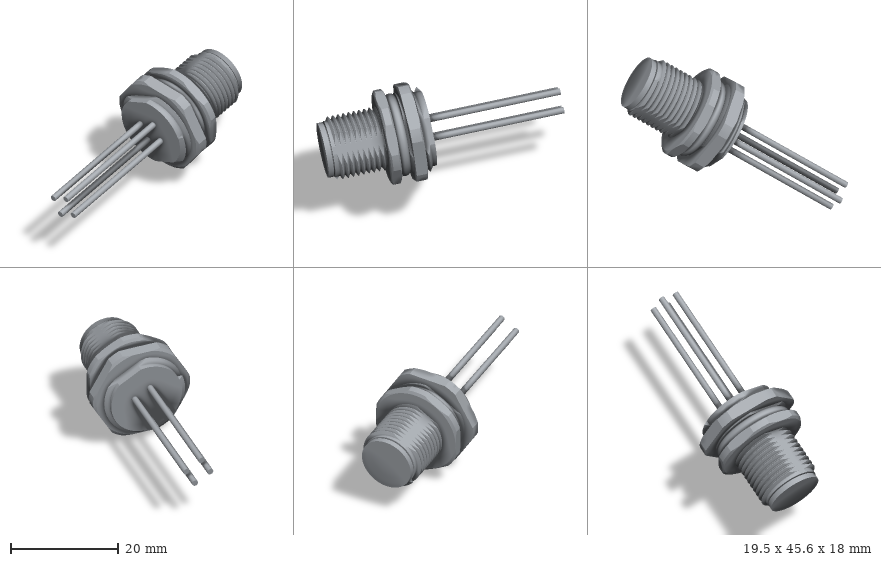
import cadquery as cq
import math


RIM_END = 1.0
NECK_END = 1.25
NUT_START = 11.3
NUT_THICKNESS = 1.95
NUT_END = NUT_START + NUT_THICKNESS
RING_SECTION_R = 1.0
SHELL_START = NUT_END + 2 * RING_SECTION_R
FLANGE_START = 15.8
FLANGE_THICKNESS = 2.3
SHELL_END = 20.25
TOTAL_LENGTH = 45.6

RIM_R = 5.2
NECK_R = 4.7
FRONT_CORE_R = 5.35
RING_OUTER_R = 7.85
RING_MEAN_R = RING_OUTER_R - RING_SECTION_R
SHELL_CORE_R = 7.1

FRONT_CREST_R = 6.0
FRONT_TURNS = 10
FRONT_RISE = 10.0
FRONT_PITCH = FRONT_RISE / FRONT_TURNS
FRONT_RIDGE_WIDTH = 0.85
FRONT_ZERO_HEIGHT = 2.1
FRONT_FIRST_ANGLE = 218.0 - 360
FRONT_LAST_ANGLE = FRONT_TURNS * 360

SHELL_CREST_R = 8.0
SHELL_PITCH = 1.5
SHELL_RIDGE_WIDTH = 1.25
SHELL_ZERO_HEIGHT = 18.1
SHELL_FIRST_ANGLE = -2.4 * 360
SHELL_LAST_ANGLE = 22.0 + 360

RIDGE_EMBED = 0.07
CREST_WIDTH = 0.05
ARC_HALF_SPAN = 85.0

FLAT_ANGLE = 120.0
FRONT_FLAT_DISTANCE = 5.3
SHELL_FLAT_DISTANCE = 6.65

NUT_ACROSS_FLATS = 17.0
NUT_CORNER_R = 9.0
FLANGE_ACROSS_FLATS = 18.0
FLANGE_CORNER_R = 9.75
HEX_CHAMFER_WIDTH = 0.55
HEX_CHAMFER_ANGLE = 30.0
HEX_CHAMFER_DEPTH = HEX_CHAMFER_WIDTH * math.tan(math.radians(HEX_CHAMFER_ANGLE))

WIRE_COUNT = 4
WIRE_R = 0.6
WIRE_CIRCLE_R = 2.5
WIRE_FIRST_ANGLE = 75.0


def cylinder(radius, start, end):
    return cq.Workplane("XY").workplane(offset=start).circle(radius).extrude(end - start)


def between_flats(flat_distance, start, end):
    """Long bar whose two sides are the pair of flats."""
    return (
        cq.Workplane("XY")
        .workplane(offset=start)
        .rect(2 * flat_distance, TOTAL_LENGTH)
        .extrude(end - start)
        .rotate((0, 0, 0), (0, 0, 1), FLAT_ANGLE)
    )


def ridge_arc(core_r, crest_r, pitch, ridge_width, sweep_angle):
    """Piece of triangular right-handed thread ridge, rising from the +X axis."""
    root_r = core_r - RIDGE_EMBED
    half_crest = CREST_WIDTH / 2
    flank_slope = (ridge_width - CREST_WIDTH) / 2 / (crest_r - core_r)
    half_root = ridge_width / 2 + flank_slope * RIDGE_EMBED
    path = cq.Workplane(obj=cq.Wire.makeHelix(pitch, pitch * sweep_angle / 360, root_r))
    return (
        cq.Workplane("XZ")
        .polyline([
            (root_r, -half_root),
            (crest_r, -half_crest),
            (crest_r, half_crest),
            (root_r, half_root),
        ])
        .close()
        .sweep(path, isFrenet=True)
    )


def threaded_body(core_r, crest_r, pitch, ridge_width, zero_height, first_angle, last_angle,
                  flat_distance, start, end):
    """Threaded cylinder with a pair of flats.

    The flats reach below the thread, so the ridge is a row of separate arcs, one per
    half turn.  The ridge is at zero_height at angle 0 and rises one pitch per turn.
    """
    bar = between_flats(flat_distance, start, end)
    body = cylinder(core_r, start, end).intersect(bar)
    middle_angle = FLAT_ANGLE - 90
    while middle_angle - ARC_HALF_SPAN > first_angle:
        middle_angle -= 180
    while middle_angle - ARC_HALF_SPAN < last_angle:
        arc_start = max(middle_angle - ARC_HALF_SPAN, first_angle)
        arc_end = min(middle_angle + ARC_HALF_SPAN, last_angle)
        if arc_end > arc_start:
            arc = (
                ridge_arc(core_r, crest_r, pitch, ridge_width, arc_end - arc_start)
                .rotate((0, 0, 0), (0, 0, 1), arc_start)
                .translate((0, 0, zero_height + pitch * arc_start / 360))
            )
            body = body.union(arc.intersect(bar))
        middle_angle += 180
    return body


def turned_hexagon(across_flats, corner_r, start, thickness, corner_angle, chamfer_front):
    """Hexagon with its corners turned round and conical chamfers on its faces."""
    end = start + thickness
    chamfer_r = corner_r - HEX_CHAMFER_WIDTH
    hexagon = (
        cq.Workplane("XY")
        .workplane(offset=start)
        .polygon(6, across_flats / math.cos(math.pi / 6))
        .extrude(thickness)
        .rotate((0, 0, 0), (0, 0, 1), corner_angle)
    )
    blank = cq.Workplane("XZ").moveTo(0, start)
    if chamfer_front:
        blank = blank.lineTo(chamfer_r, start).lineTo(corner_r, start + HEX_CHAMFER_DEPTH)
    else:
        blank = blank.lineTo(corner_r, start)
    blank = (
        blank.lineTo(corner_r, end - HEX_CHAMFER_DEPTH)
        .lineTo(chamfer_r, end)
        .lineTo(0, end)
        .close()
        .revolve(360, (0, 0, 0), (0, 1, 0))
    )
    return hexagon.intersect(blank)


front_barrel = threaded_body(
    FRONT_CORE_R, FRONT_CREST_R, FRONT_PITCH, FRONT_RIDGE_WIDTH,
    FRONT_ZERO_HEIGHT, FRONT_FIRST_ANGLE, FRONT_LAST_ANGLE,
    FRONT_FLAT_DISTANCE, NECK_END, NUT_END,
)

shell = threaded_body(
    SHELL_CORE_R, SHELL_CREST_R, SHELL_PITCH, SHELL_RIDGE_WIDTH,
    SHELL_ZERO_HEIGHT, SHELL_FIRST_ANGLE, SHELL_LAST_ANGLE,
    SHELL_FLAT_DISTANCE, SHELL_START, SHELL_END,
)

rim = cylinder(RIM_R, 0, RIM_END)
neck = cylinder(NECK_R, RIM_END, NECK_END)

seal = (
    cq.Workplane("XZ")
    .moveTo(0, NUT_END)
    .lineTo(RING_MEAN_R, NUT_END)
    .threePointArc((RING_OUTER_R, NUT_END + RING_SECTION_R), (RING_MEAN_R, SHELL_START))
    .lineTo(0, SHELL_START)
    .close()
    .revolve(360, (0, 0, 0), (0, 1, 0))
)

lock_nut = turned_hexagon(NUT_ACROSS_FLATS, NUT_CORNER_R, NUT_START, NUT_THICKNESS, 90, True)
flange = turned_hexagon(
    FLANGE_ACROSS_FLATS, FLANGE_CORNER_R, FLANGE_START, FLANGE_THICKNESS, 0, False
)

wires = (
    cq.Workplane("XY")
    .workplane(offset=SHELL_END)
    .polarArray(WIRE_CIRCLE_R, WIRE_FIRST_ANGLE, 360, WIRE_COUNT)
    .circle(WIRE_R)
    .extrude(TOTAL_LENGTH - SHELL_END)
)

connector = rim
for piece in (neck, front_barrel, lock_nut, seal, shell, flange, wires):
    connector = connector.union(piece)

result = connector.rotate((0, 0, 0), (1, 0, 0), 90)